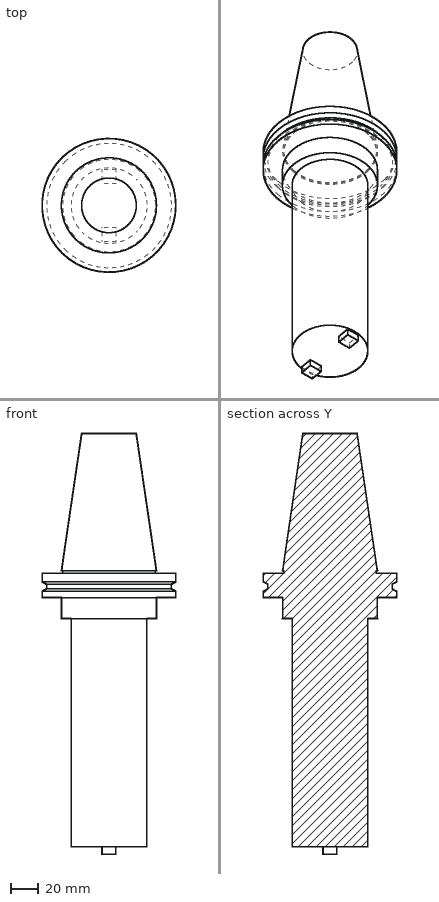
import cadquery as cq

total_height = 309.7
taper_length = 101.0
flange_top = 207.0
flange_thickness = 18.0
collar_height = 15.5
key_height = 5.5

taper_small_radius = 20.0
taper_large_radius = 35.0
neck_radius = 34.0
flange_radius = 49.2
collar_radius = 35.0
body_radius = 28.0

groove_depth = 3.5
groove_upper_edge = 200.5
groove_lower_edge = 193.5
groove_bevel_height = 2.0

key_width = 10.2
key_center_offset = 21.5

taper_base = total_height - taper_length
flange_bottom = flange_top - flange_thickness
collar_bottom = flange_bottom - collar_height
groove_radius = flange_radius - groove_depth


def turned_holder():
    """Revolve the taper, grooved flange, collar and body about Z."""
    profile = [
        (0, key_height),
        (body_radius, key_height),
        (body_radius, collar_bottom),
        (collar_radius, collar_bottom),
        (collar_radius, flange_bottom),
        (flange_radius, flange_bottom),
        (flange_radius, groove_lower_edge),
        (groove_radius, groove_lower_edge + groove_bevel_height),
        (groove_radius, groove_upper_edge - groove_bevel_height),
        (flange_radius, groove_upper_edge),
        (flange_radius, flange_top),
        (neck_radius, flange_top),
        (neck_radius, taper_base),
        (taper_large_radius, taper_base),
        (taper_small_radius, total_height),
        (0, total_height),
    ]
    return cq.Workplane("XZ").polyline(profile).close().revolve(360, (0, 0), (0, 1))


def drive_keys():
    """Two square keys placed symmetrically along Y, projecting below the body."""
    return (
        cq.Workplane("XY")
        .pushPoints([(0, -key_center_offset), (0, key_center_offset)])
        .rect(key_width, key_width)
        .extrude(key_height)
    )


result = turned_holder().union(drive_keys())